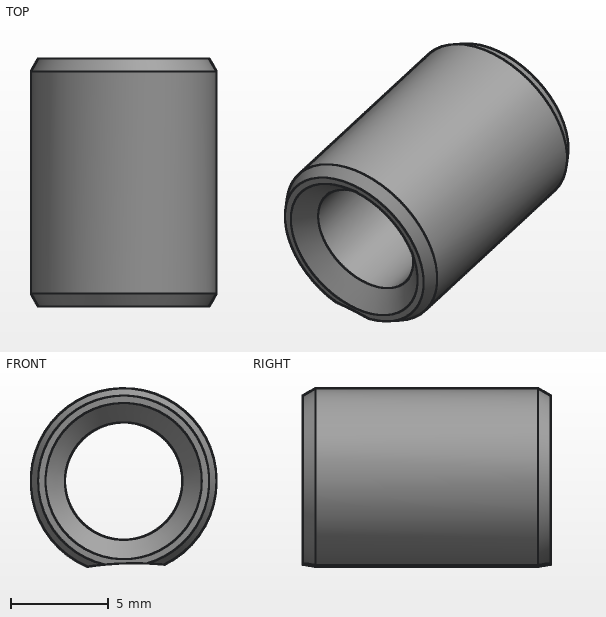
import cadquery as cq
import math

outer_diameter = 9.525
length = 12.7
bore_diameter = 6.0
countersink_width = 1.0
end_chamfer_length = 0.66
end_chamfer_angle = 30.0

relief_radius = 16.2
relief_crown_x = 0.55
relief_crown_z = -4.21

outer_radius = outer_diameter / 2
bore_radius = bore_diameter / 2
half_length = length / 2
end_radius = outer_radius - end_chamfer_length * math.tan(math.radians(end_chamfer_angle))
mouth_radius = bore_radius + countersink_width
chamfer_start = half_length - end_chamfer_length
countersink_start = half_length - countersink_width


def make_sleeve():
    """Hollow sleeve with chamfered and countersunk ends, revolved about Y."""
    wall_section = [
        (bore_radius, -countersink_start),
        (mouth_radius, -half_length),
        (end_radius, -half_length),
        (outer_radius, -chamfer_start),
        (outer_radius, chamfer_start),
        (end_radius, half_length),
        (mouth_radius, half_length),
        (bore_radius, countersink_start),
    ]
    return cq.Workplane("XY").polyline(wall_section).close().revolve(360, (0, 0, 0), (0, 1, 0))


def make_relief_cutter():
    """Large cylinder parallel to Y that scoops the underside over the full length."""
    relief_center_z = relief_crown_z - relief_radius
    return (
        cq.Workplane("XZ")
        .center(relief_crown_x, relief_center_z)
        .circle(relief_radius)
        .extrude(half_length, both=True)
    )


result = make_sleeve().cut(make_relief_cutter())